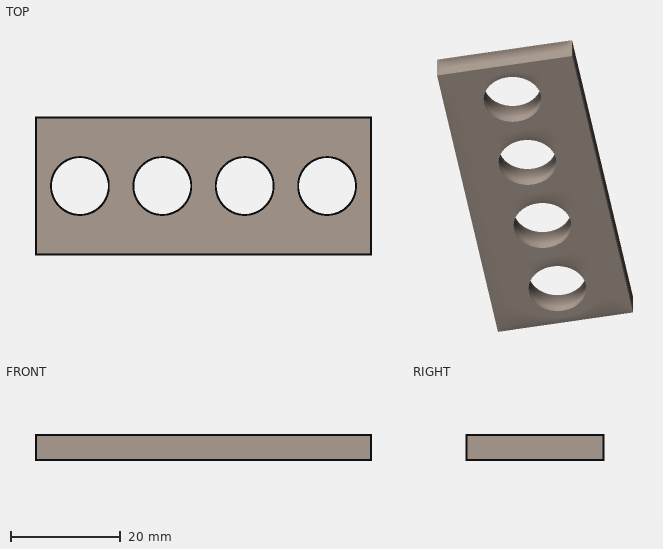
import cadquery as cq

plate_length = 61.0
plate_width = 25.0
plate_thickness = 4.6

hole_count = 4
hole_diameter = 10.5
hole_pitch = 15.0


def make_plate():
    """Flat rectangular plate resting on Z = 0."""
    return cq.Workplane("XY").box(
        plate_length, plate_width, plate_thickness, centered=(True, True, False)
    )


def drill_hole_row(plate):
    """Drill the evenly spaced holes along the long centre line."""
    return (
        plate.faces(">Z")
        .workplane()
        .rarray(hole_pitch, hole_pitch, hole_count, 1)
        .hole(hole_diameter)
    )


result = drill_hole_row(make_plate())